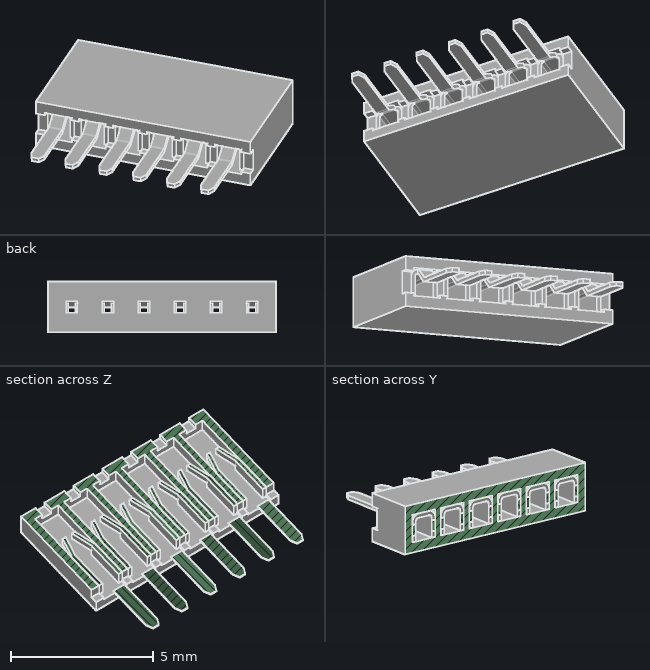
import cadquery as cq
import math

HOUSING_LENGTH = 8.02
HOUSING_DEPTH = 4.41
HOUSING_HEIGHT = 1.8
OVERALL_DEPTH = 6.8
GROOVE_HEIGHT = 0.81
GROOVE_DEPTH = 0.27

CONTACT_COUNT = 6
PITCH = 1.27
CONTACT_X = [(i - (CONTACT_COUNT - 1) / 2) * PITCH for i in range(CONTACT_COUNT)]

CAVITY_SIZE = 1.0
REAR_WALL = 0.4
ENTRY_HOLE = 0.39

SHEET = 0.15
BEND_INNER = 0.105
BEND_OUTER = BEND_INNER + SHEET
CHANNEL_LENGTH = 1.6
CHANNEL_FRONT = GROOVE_DEPTH
CHANNEL_REAR = CHANNEL_FRONT + CHANNEL_LENGTH
CHANNEL_TOP = CAVITY_SIZE / 2

ARM_TOP = 0.14
ARM_BOTTOM = -0.28
ARM_LENGTH = 0.85
ARM_GAP = 0.25

TAIL_WIDTH = 0.5
TAIL_TIP_WIDTH = 0.26
TAIL_TAPER = 0.26
TAIL_TIP_Y = HOUSING_DEPTH - OVERALL_DEPTH
TAIL_TOP = 0.13
TAIL_KNEE_Y = -0.28
TAIL_SLOPE = 40.0
TAIL_BEND_INNER = 0.065
TAIL_BEND_OUTER = TAIL_BEND_INNER + SHEET


def block(x_size, y_start, y_end, z_bottom, z_top):
    """Box centred on X = 0, given by its Y and Z limits."""
    return cq.Workplane("XY").box(
        x_size, y_end - y_start, z_top - z_bottom, centered=(True, False, False)
    ).translate((0, y_start, z_bottom))


def make_housing():
    half_height = HOUSING_HEIGHT / 2
    half_cavity = CAVITY_SIZE / 2
    half_hole = ENTRY_HOLE / 2
    cavity_rear = HOUSING_DEPTH - REAR_WALL

    housing = block(HOUSING_LENGTH, 0, HOUSING_DEPTH, -half_height, half_height)
    housing = housing.cut(block(HOUSING_LENGTH, 0, GROOVE_DEPTH, -GROOVE_HEIGHT / 2, GROOVE_HEIGHT / 2))
    cavity = block(CAVITY_SIZE, 0, cavity_rear, -half_cavity, half_cavity)
    entry_hole = block(ENTRY_HOLE, cavity_rear, HOUSING_DEPTH, -half_hole, half_hole)
    for x in CONTACT_X:
        housing = housing.cut(cavity.translate((x, 0, 0)))
        housing = housing.cut(entry_hole.translate((x, 0, 0)))
    return housing


def make_channel():
    """Inverted U with rounded upper corners, open at the bottom."""
    half_cavity = CAVITY_SIZE / 2
    outer = block(CAVITY_SIZE, CHANNEL_FRONT, CHANNEL_REAR, -half_cavity, CHANNEL_TOP)
    outer = outer.edges("|Y and >Z").fillet(BEND_OUTER)
    inner = block(CAVITY_SIZE - 2 * SHEET, CHANNEL_FRONT, CHANNEL_REAR, -half_cavity, CHANNEL_TOP - SHEET)
    inner = inner.edges("|Y and >Z").fillet(BEND_INNER)
    return outer.cut(inner)


def make_arm():
    """Right-hand spring arm, sloping inward from the rear of the channel wall."""
    root_outer = CAVITY_SIZE / 2
    root_inner = root_outer - SHEET
    tip_inner = ARM_GAP / 2
    tip_y = CHANNEL_REAR + ARM_LENGTH
    return (
        cq.Workplane("XY", origin=(0, 0, ARM_BOTTOM))
        .moveTo(root_outer, CHANNEL_REAR)
        .lineTo(root_inner, CHANNEL_REAR)
        .lineTo(tip_inner, tip_y)
        .lineTo(tip_inner + SHEET, tip_y)
        .close()
        .extrude(ARM_TOP - ARM_BOTTOM)
    )


def make_tail():
    """Sheet strip bent twice in the YZ plane, with a tapered tip."""
    slope = math.radians(TAIL_SLOPE)
    corner_shift = SHEET * math.tan(slope / 2)
    shoulder_y = TAIL_KNEE_Y + (CHANNEL_TOP - TAIL_TOP) / math.tan(slope)
    half_width = TAIL_WIDTH / 2

    strip = (
        cq.Workplane("YZ", origin=(-half_width, 0, 0))
        .moveTo(TAIL_TIP_Y, TAIL_TOP)
        .lineTo(TAIL_KNEE_Y, TAIL_TOP)
        .lineTo(shoulder_y, CHANNEL_TOP)
        .lineTo(CHANNEL_FRONT, CHANNEL_TOP)
        .lineTo(CHANNEL_FRONT, CHANNEL_TOP - SHEET)
        .lineTo(shoulder_y + corner_shift, CHANNEL_TOP - SHEET)
        .lineTo(TAIL_KNEE_Y + corner_shift, TAIL_TOP - SHEET)
        .lineTo(TAIL_TIP_Y, TAIL_TOP - SHEET)
        .close()
        .extrude(TAIL_WIDTH)
    )

    def bend_edge(y, z):
        return cq.selectors.NearestToPointSelector((0, y, z))

    strip = strip.edges(bend_edge(TAIL_KNEE_Y, TAIL_TOP)).fillet(TAIL_BEND_INNER)
    strip = strip.edges(bend_edge(TAIL_KNEE_Y + corner_shift, TAIL_TOP - SHEET)).fillet(TAIL_BEND_OUTER)
    strip = strip.edges(bend_edge(shoulder_y, CHANNEL_TOP)).fillet(TAIL_BEND_OUTER)
    strip = strip.edges(bend_edge(shoulder_y + corner_shift, CHANNEL_TOP - SHEET)).fillet(TAIL_BEND_INNER)

    tip_inset = (TAIL_WIDTH - TAIL_TIP_WIDTH) / 2
    taper = (
        cq.Workplane("XY", origin=(0, 0, TAIL_TOP - SHEET))
        .moveTo(half_width, TAIL_TIP_Y)
        .lineTo(half_width, TAIL_TIP_Y + TAIL_TAPER)
        .lineTo(half_width - tip_inset, TAIL_TIP_Y)
        .close()
        .extrude(SHEET)
    )
    return strip.cut(taper).cut(taper.mirror("YZ"))


def make_contact():
    arm = make_arm()
    return make_channel().union(arm).union(arm.mirror("YZ")).union(make_tail())


housing = make_housing().solids()
contact = make_contact().solids()
contacts = [contact.translate((x, 0, 0)) for x in CONTACT_X]

result = cq.Compound.makeCompound([housing.val(), *[c.val() for c in contacts]])